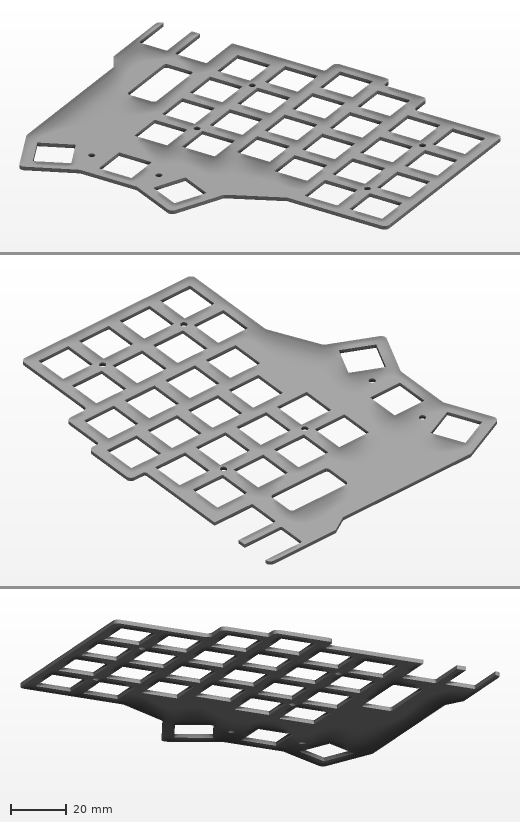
import cadquery as cq
import math


length = 151.45
width = 125.7
thickness = 1.5
right_x = length / 2
left_x = -length / 2
top_y = width / 2
bottom_y = -width / 2

pitch = 19.05
cutout = 14.0
border = 2.03
rows = 4
cell_reach = pitch / 2 + border
column_reach = rows * pitch / 2 + border
last_column_x = right_x - cell_reach
tall_column_y = top_y - column_reach
column_drops = (9.0, 7.0, 0.0, 5.0, 15.0, 15.0)
column_centers = [
    (last_column_x - (len(column_drops) - 1 - i) * pitch, tall_column_y - drop)
    for i, drop in enumerate(column_drops)
]
first_column, _, tall_column, fourth_column, fifth_column, last_column = column_centers

corner_radius = 2.0
inner_step_radius = 1.0

thumb_tilt = 25.0
thumb_spread = 26.75
thumb_shift = 1.9
thumb_x = first_column[0] + thumb_shift
thumb_y = -42.5
thumb_edge_y = thumb_y - cell_reach
tilt_cos = math.cos(math.radians(thumb_tilt))
tilt_sin = math.sin(math.radians(thumb_tilt))
outer_thumb_y = bottom_y + corner_radius + (cell_reach - corner_radius) * (tilt_cos + tilt_sin)
left_thumb = (thumb_x - thumb_spread, outer_thumb_y)
right_thumb = (thumb_x + thumb_spread, outer_thumb_y)

screw_diameter = 2.6
thumb_screw_offset = 0.75 * pitch

main_top_y = 55.8
tall_reach = 11.85
flank_top_y = 24.8
flank_bottom_y = 17.9
lower_left_x = -71.5

slot_radius = 0.6
slots = ((-73.5, -61.5, 38.65), (-57.95, -44.35, 38.15))
window_center = (-50.9, 16.7)
window_size = (12.2, 26.8)
window_radius = 1.3


def tilted_point(center, along, up, turn):
    """Point at a local offset inside a thumb cell; turn is 1 anticlockwise, -1 clockwise."""
    return (
        center[0] + along * tilt_cos - turn * up * tilt_sin,
        center[1] + turn * along * tilt_sin + up * tilt_cos,
    )


def bottom_edge_meeting(corner, inward):
    """Where the slanted edge rising inward from a thumb corner meets the middle thumb edge."""
    rise = thumb_edge_y - corner[1]
    return (corner[0] + inward * rise * tilt_cos / tilt_sin, thumb_edge_y)


left_foot = tilted_point(left_thumb, -cell_reach, -cell_reach, 1)
right_foot = tilted_point(right_thumb, cell_reach, -cell_reach, -1)
right_shoulder = tilted_point(right_thumb, cell_reach, cell_reach, -1)
left_hip = (
    lower_left_x,
    left_foot[1] + (left_foot[0] - lower_left_x) * tilt_cos / tilt_sin,
)

tall_left_x = tall_column[0] - tall_reach
tall_right_x = tall_column[0] + tall_reach
fourth_top_y = fourth_column[1] + column_reach
fourth_right_x = fourth_column[0] + cell_reach
last_top_y = last_column[1] + column_reach
last_bottom_y = last_column[1] - column_reach

outline = (
    ((left_x, main_top_y), corner_radius),
    ((tall_left_x, main_top_y), inner_step_radius),
    ((tall_left_x, top_y), corner_radius),
    ((tall_right_x, top_y), corner_radius),
    ((tall_right_x, fourth_top_y), inner_step_radius),
    ((fourth_right_x, fourth_top_y), corner_radius),
    ((fourth_right_x, last_top_y), corner_radius),
    ((right_x, last_top_y), corner_radius),
    ((right_x, last_bottom_y), corner_radius),
    ((fifth_column[0] - cell_reach, last_bottom_y), 0),
    (right_shoulder, corner_radius),
    (right_foot, corner_radius),
    (bottom_edge_meeting(right_foot, -1), 0),
    (bottom_edge_meeting(left_foot, 1), 0),
    (left_foot, corner_radius),
    (left_hip, 0),
    ((lower_left_x, flank_bottom_y), 0),
    ((left_x, flank_top_y), 0),
)


def make_plate():
    """Flat plate with its outline corners rounded."""
    plate = cq.Workplane("XY").polyline([point for point, _ in outline]).close().extrude(thickness)
    for (x, y), radius in outline:
        if radius > 0:
            corner = cq.selectors.NearestToPointSelector((x, y, thickness / 2))
            plate = plate.edges("|Z").edges(corner).fillet(radius)
    return plate


def square_cutters(centers, angle=0):
    """Switch-opening cutters at the given centres, turned about Z by angle."""
    opening = cq.Workplane("XY").rect(cutout, cutout).extrude(thickness)
    opening = opening.rotate((0, 0, 0), (0, 0, 1), angle).val()
    return cq.Workplane("XY").pushPoints(centers).eachpoint(lambda place: opening.moved(place))


def cut_switch_openings(plate):
    """Openings for the key columns and the three thumb keys."""
    grid = [
        (x, y + ((rows - 1) / 2 - row) * pitch)
        for x, y in column_centers
        for row in range(rows)
    ]
    plate = plate.cut(square_cutters(grid + [(thumb_x, thumb_y)]))
    plate = plate.cut(square_cutters([left_thumb], thumb_tilt))
    return plate.cut(square_cutters([right_thumb], -thumb_tilt))


def cut_screw_holes(plate):
    """Holes between the first two columns, the last two columns and the thumb keys."""
    centers = [(thumb_x + side * thumb_screw_offset, thumb_y) for side in (-1, 1)]
    for left_column in (first_column, fifth_column):
        for side in (-1, 1):
            centers.append((left_column[0] + pitch / 2, left_column[1] + side * pitch))
    holes = cq.Workplane("XY").pushPoints(centers).circle(screw_diameter / 2).extrude(thickness)
    return plate.cut(holes)


def cut_controller_openings(plate):
    """Two slots open at the top edge and a closed rounded window below them."""
    for slot_left, slot_right, floor_y in slots:
        slot_width = slot_right - slot_left
        slot_depth = main_top_y - floor_y
        slot = cq.Workplane("XY").box(slot_width, slot_depth, thickness, centered=False)
        slot = slot.edges("|Z and <Y").fillet(slot_radius)
        plate = plate.cut(slot.translate((slot_left, floor_y, 0)))
    window = cq.Workplane("XY").center(*window_center).rect(*window_size).extrude(thickness)
    return plate.cut(window.edges("|Z").fillet(window_radius))


result = make_plate()
result = cut_switch_openings(result)
result = cut_screw_holes(result)
result = cut_controller_openings(result)